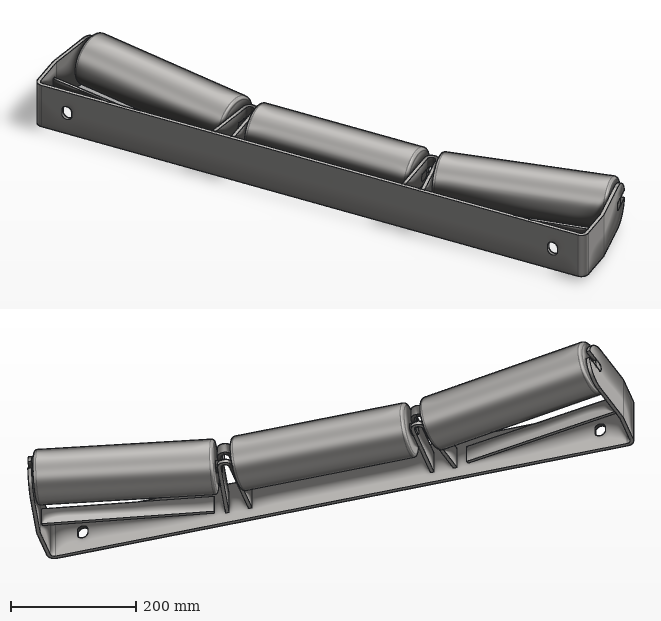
import cadquery as cq
import math

frame_length = 980.0
frame_height = 80.0
plate_thickness = 6.0
corner_radius = 13.0
upright_top = 69.0
wing_length = 121.0
trough_angle = 10.0

mount_slot_width = 18.0
mount_slot_height = 24.5
mount_slot_x = 432.0

bracket_leg_x = 149.0
bracket_top = 125.0
bracket_bend_radius = 13.0
bracket_height = 40.0

brace_thickness = 5.0
brace_height = 31.0
brace_angle = 10.5
brace_foot_x = 212.0

roller_diameter = 89.0
roller_length = 290.0
roller_edge_radius = 5.0
shaft_diameter = 20.0
shaft_flat_width = 15.0
centre_roller_y = 100.0
centre_roller_z = -5.7
side_roller_offset = 71.0
side_roller_z = -2.2
forward_tilt = 1.4

sin_trough = math.sin(math.radians(trough_angle))
cos_trough = math.cos(math.radians(trough_angle))
half_length = frame_length / 2
half_height = frame_height / 2
wall_inner_x = half_length - plate_thickness

bend_x = bracket_leg_x + bracket_bend_radius
bend_y = bracket_top - bracket_bend_radius
bend_inner_radius = bracket_bend_radius - plate_thickness

wing_outer_u = half_length * cos_trough + upright_top * sin_trough
bracket_inner_u = bend_x * cos_trough + bend_y * sin_trough + bend_inner_radius
side_shaft_length = wing_outer_u - bracket_inner_u
side_roller_u = (wing_outer_u + bracket_inner_u) / 2
centre_shaft_length = 2 * (bracket_leg_x + plate_thickness)


def mirrored(body):
    """Copy of a body at the opposite X end."""
    return body.mirror("YZ")


centre_axis = cq.Plane(origin=(0, centre_roller_y, centre_roller_z))


def make_side_axis():
    tilt = math.radians(forward_tilt)
    origin = cq.Vector(
        side_roller_u * cos_trough - side_roller_offset * sin_trough,
        side_roller_u * sin_trough + side_roller_offset * cos_trough,
        side_roller_z,
    )
    along = cq.Vector(
        cos_trough * math.cos(tilt), sin_trough * math.cos(tilt), math.sin(tilt)
    )
    across = cq.Vector(-sin_trough, cos_trough, 0)
    return cq.Plane(origin=origin, xDir=along, normal=along.cross(across))


side_axis = make_side_axis()


def cylinder(diameter, length):
    """Cylinder along X, centred on the origin."""
    return (
        cq.Workplane("XY", origin=(-length / 2, 0, 0))
        .lineTo(0, diameter / 2)
        .lineTo(length, diameter / 2)
        .lineTo(length, 0)
        .close()
        .revolve(360, (0, 0, 0), (1, 0, 0))
    )


def make_roller(axis, shaft_length):
    """Drum with rounded rims on a shaft with two flats."""
    drum = cylinder(roller_diameter, roller_length).edges().fillet(roller_edge_radius)
    flats = cq.Workplane().box(shaft_length, shaft_diameter, shaft_flat_width)
    roller = drum.union(cylinder(shaft_diameter, shaft_length).intersect(flats))
    return cq.Workplane(roller.val().moved(cq.Location(axis)))


def slot_cutter(axis, open_length, from_x, to_x):
    """Seat of a flatted shaft between two places on its axis, open toward local +Y."""
    length = to_x - from_x
    seat = (
        cq.Workplane("YZ", origin=(from_x, 0, 0))
        .circle(shaft_diameter / 2)
        .extrude(length)
    )
    opening = cq.Workplane(origin=(from_x, 0, 0)).box(
        length, open_length, shaft_diameter, centered=(False, False, True)
    )
    flats = cq.Workplane().box(frame_length, 2 * open_length, shaft_flat_width)
    cutter = seat.union(opening).intersect(flats)
    return cq.Workplane(cutter.val().moved(cq.Location(axis)))


side_slot_outer = slot_cutter(
    side_axis, wing_length, roller_length / 2, side_shaft_length / 2 + plate_thickness
)
side_slot_inner = slot_cutter(
    side_axis, bracket_top, -side_shaft_length / 2 - plate_thickness, -roller_length / 2
)
centre_slot = slot_cutter(
    centre_axis, bracket_top, roller_length / 2, centre_shaft_length / 2 + plate_thickness
)


def make_wing():
    """Tilted, round-tipped end plate of the frame at the +X end."""
    wing_plane = cq.Plane(
        origin=(half_length, upright_top, 0),
        xDir=(-sin_trough, cos_trough, 0),
        normal=(-cos_trough, -sin_trough, 0),
    )
    arc_start = wing_length - half_height
    return (
        cq.Workplane(wing_plane)
        .moveTo(0, -half_height)
        .lineTo(arc_start, -half_height)
        .threePointArc((wing_length, 0), (arc_start, half_height))
        .lineTo(0, half_height)
        .close()
        .extrude(plate_thickness)
    )


def make_frame():
    channel = (
        cq.Workplane("XY", origin=(0, 0, -half_height))
        .moveTo(0, upright_top / 2)
        .rect(frame_length, upright_top)
        .extrude(frame_height)
        .edges("|Z and <Y")
        .fillet(corner_radius)
    )
    inside = (
        cq.Workplane("XY", origin=(0, plate_thickness + upright_top / 2, -half_height))
        .rect(2 * wall_inner_x, upright_top)
        .extrude(frame_height)
        .edges("|Z and <Y")
        .fillet(corner_radius - plate_thickness)
    )
    mount_slots = (
        cq.Workplane("XZ", origin=(0, plate_thickness, 0))
        .pushPoints([(-mount_slot_x, 0), (mount_slot_x, 0)])
        .slot2D(mount_slot_height, mount_slot_width, 90)
        .extrude(plate_thickness)
    )
    wing = make_wing().cut(side_slot_outer)
    return channel.cut(inside).union(wing).union(mirrored(wing)).cut(mount_slots)


def make_bracket():
    """Folded plate: one leg beside the centre roller, one beside the side roller."""
    foot_y = plate_thickness

    def bend_point(radius, angle):
        turn = math.radians(angle)
        return (bend_x + radius * math.cos(turn), bend_y + radius * math.sin(turn))

    def foot_of(tangent_point):
        x, y = tangent_point
        return (x + (y - foot_y) * math.tan(math.radians(trough_angle)), foot_y)

    outer_r = bracket_bend_radius
    inner_r = bend_inner_radius
    outer_tangent = bend_point(outer_r, trough_angle)
    inner_tangent = bend_point(inner_r, trough_angle)
    bracket = (
        cq.Workplane("XY", origin=(0, 0, -bracket_height / 2))
        .moveTo(bend_x - outer_r, foot_y)
        .lineTo(bend_x - outer_r, bend_y)
        .threePointArc(bend_point(outer_r, 90), outer_tangent)
        .lineTo(*foot_of(outer_tangent))
        .lineTo(*foot_of(inner_tangent))
        .lineTo(*inner_tangent)
        .threePointArc(bend_point(inner_r, 90), bend_point(inner_r, 180))
        .lineTo(bend_x - inner_r, foot_y)
        .close()
        .extrude(bracket_height)
    )
    return bracket.cut(centre_slot).cut(side_slot_inner)


def make_brace():
    """Sloping strip from the frame end down to the base, square-cut at its foot."""
    slope = math.radians(brace_angle)
    foot = (brace_foot_x, plate_thickness)
    foot_upper = (
        brace_foot_x - brace_thickness * math.sin(slope),
        plate_thickness + brace_thickness * math.cos(slope),
    )

    def wall_point(start):
        x, y = start
        return (wall_inner_x, y + (wall_inner_x - x) * math.tan(slope))

    return (
        cq.Workplane("XY", origin=(0, 0, -brace_height / 2))
        .polyline([foot, wall_point(foot), wall_point(foot_upper), foot_upper])
        .close()
        .extrude(brace_height)
    )


frame = make_frame()
bracket = make_bracket()
brace = make_brace()
centre_roller = make_roller(centre_axis, centre_shaft_length)
side_roller = make_roller(side_axis, side_shaft_length)

bodies = [frame.val(), centre_roller.val()]
for body in (bracket, brace, side_roller):
    bodies += [body.val(), mirrored(body).val()]
result = cq.Compound.makeCompound(bodies)